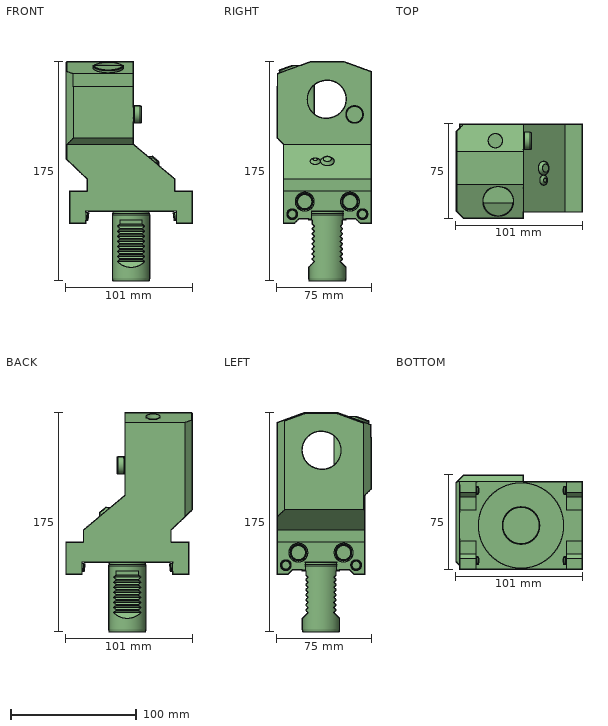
import cadquery as cq
import math


base_length = 98.0
base_width = 70.0
base_top = 16.0
rail_bottom = -9.8
rail_gap = 72.1
rail_relief_z = -6.3
rail_relief_width = 45.5
rail_slot_width = 25.0

neck_length = 70.0
neck_top = 25.5
head_left = -52.0
head_right = 2.0
head_front = -40.0
head_back = base_width / 2
head_top = 119.2
head_flat_half = 13.1
head_slope = 20.0
head_lip = 0.4
head_lip_z = 99.4
left_slope_top = 41.8
head_foot = 53.2
corner_chamfer = 6.1
top_bevel = 0.9
bore_diameter = 30.0
bore_z = 89.2
bore_relief_y = -1.0
bore_relief_z = -0.26

clamp_diameter = 24.5
clamp_x = -18.2
clamp_y = -26.2
clamp_height = 2.3
clamp_bevel = 0.5
clamp_length = 42.0
clamp_flat_z = 116.2
clamp_tip_y = -10.3
recess_diameter = 11.4
recess_x = -20.5
recess_y = 21.9
recess_floor = 113.5
stud_diameter = 14.0
stud_length = 6.5
stud_y = 21.7
stud_z = 77.0
stud_neck_diameter = 11.4
stud_neck = 0.7
stud_bevel = 1.0

plug_x = 18.0
plugs = [(11.0, 6.5, 2.5, 0.0), (8.0, 3.3, 2.0, -9.6)]

plug_screw = (15.0, 13.0, 11.4, 18.0, 7.5)
set_screw = (8.5, 8.0, 6.5, 28.0, -2.5)
set_screw_y = set_screw[3]
countersink_depth = 1.0
crown_height = 0.7
set_tip_diameter = 6.5
set_tip_end_diameter = 5.8
set_tip_length = 2.1
set_tip_cone = 1.0
set_tip_z = -4.2
set_tilt = 7.0

collar_diameter = 68.0
collar_height = 0.5
shank_diameter = 30.0
shank_bottom = -55.8
neck_diameter = 29.0
neck_bottom = -1.8
neck_cone_bottom = -3.0
shank_end_bevel = 2.1
flat_y = 12.0
flat_top = -7.2
tooth_count = 8
tooth_pitch = 4.0
tooth_depth = 1.8
first_tooth_z = -12.0


def box(x0, x1, y0, y1, z0, z1):
    return cq.Workplane("XY").box(x1 - x0, y1 - y0, z1 - z0, centered=False).translate((x0, y0, z0))


def frustum(start, direction, first_diameter, last_diameter, length):
    cone = cq.Solid.makeCone(
        first_diameter / 2, last_diameter / 2, length, cq.Vector(*start), cq.Vector(*direction)
    )
    return cq.Workplane(obj=cone)


def cylinder(start, direction, diameter, length):
    solid = cq.Solid.makeCylinder(diameter / 2, length, cq.Vector(*start), cq.Vector(*direction))
    return cq.Workplane(obj=solid)


def top_height(y):
    """Height of the sloping head roof at a given Y."""
    return head_top - (abs(y) - head_flat_half) * math.tan(math.radians(head_slope))


def make_head():
    overhang = -base_width / 2 - head_front
    lip_y = head_front + head_lip
    roof = [
        (lip_y, top_height(lip_y)),
        (-head_flat_half, head_top),
        (head_flat_half, head_top),
        (head_back, top_height(head_back)),
    ]
    outline = roof + [
        (head_back, head_foot),
        (-base_width / 2, head_foot),
        (head_front, head_foot + overhang),
        (head_front, head_lip_z),
        (lip_y, head_lip_z),
    ]
    head = cq.Workplane("YZ").polyline(outline).close().extrude(head_right - head_left)
    head = head.translate((head_left, 0, 0))
    roof_low = min(z for _, z in roof)
    margin = 1.8
    roof_edges = cq.selectors.BoxSelector(
        (head_left - margin, head_front - margin, roof_low),
        (head_left + margin, head_back - margin, head_top + margin),
    )
    return head.faces("<X").edges(roof_edges).chamfer(top_bevel)


def make_neck():
    half = neck_length / 2
    outline = [
        (-half, 0),
        (half, 0),
        (half, neck_top),
        (head_right, head_foot),
        (head_left, head_foot),
        (head_left, left_slope_top),
        (-half, neck_top),
    ]
    return cq.Workplane("XZ").polyline(outline).close().extrude(base_width / 2, both=True)


def cut_corners(body):
    """Bevel both vertical corners of the head's -X face."""
    for y, inward in ((head_front, 1), (head_back, -1)):
        corner = [
            (head_left, y),
            (head_left + corner_chamfer, y),
            (head_left, y + inward * corner_chamfer),
        ]
        body = body.cut(cq.Workplane("XY").polyline(corner).close().extrude(head_top))
    return body


def make_base():
    half_length = base_length / 2
    half_width = base_width / 2
    half_relief = rail_relief_width / 2
    half_slot = rail_slot_width / 2
    flare = rail_relief_z - rail_bottom
    half_outline = [
        (0, base_top),
        (half_width, base_top),
        (half_width, rail_bottom),
        (half_relief + flare, rail_bottom),
        (half_relief, rail_relief_z),
        (half_slot, rail_relief_z),
        (half_slot, 0),
        (0, 0),
    ]
    half_base = cq.Workplane("YZ").polyline(half_outline).close().extrude(half_length, both=True)
    base = half_base.union(half_base.mirror("XZ"))
    return base.cut(box(-rail_gap / 2, rail_gap / 2, -half_width, half_width, rail_bottom, 0))


def add_screw_end(body, end, countersink, screw, crown, y, z):
    """Countersink in a rail's outer face with the bevelled end of a screw inside it."""
    face_x = end * base_length / 2
    body = body.cut(frustum((face_x, y, z), (-end, 0, 0), countersink, screw, countersink_depth))
    floor_x = face_x - end * countersink_depth
    return body.union(frustum((floor_x, y, z), (end, 0, 0), screw, crown, crown_height))


def make_set_tip(end, y):
    """Tilted tip of a set screw standing out of a rail's inner face."""
    tilt = math.radians(set_tilt)
    inward = cq.Vector(-end * math.cos(tilt), 0, -math.sin(tilt))
    mouth = cq.Vector(end * rail_gap / 2, y, set_tip_z)
    root = mouth - inward * set_tip_length
    shoulder = mouth + inward * (set_tip_length - set_tip_cone)
    direction = inward.toTuple()
    shaft = cylinder(root.toTuple(), direction, set_tip_diameter, 2 * set_tip_length - set_tip_cone)
    cone = frustum(shoulder.toTuple(), direction, set_tip_diameter, set_tip_end_diameter, set_tip_cone)
    return shaft.union(cone)


def add_rail_screws(body):
    for end in (-1, 1):
        for side in (-1, 1):
            for countersink, screw, crown, y, z in (plug_screw, set_screw):
                body = add_screw_end(body, end, countersink, screw, crown, side * y, z)
            body = body.union(make_set_tip(end, side * set_screw_y))
    return body


def add_clamp_screw(body):
    """Screw square to the -Y roof, sunk to a level flat near the ridge, cut off upright in the bore."""
    slope = math.radians(head_slope)
    inward = (0, math.sin(slope), -math.cos(slope))
    start = (
        clamp_x,
        clamp_y - clamp_height * math.sin(slope),
        top_height(clamp_y) + clamp_height * math.cos(slope),
    )
    screw = cylinder(start, inward, clamp_diameter, clamp_length)
    bevelled_screw = screw.faces(">Z").chamfer(clamp_bevel)
    above_flat = box(head_left, head_right, head_front, 0, clamp_flat_z, 2 * head_top)
    past_tip = box(head_left, head_right, clamp_tip_y, 0, 0, clamp_flat_z)
    body = body.cut(screw.intersect(above_flat))
    return body.union(bevelled_screw.cut(above_flat).cut(past_tip))


def cut_bore(body):
    """Through bore with an eccentric relief of the same diameter on the clamp side."""
    length = head_right - head_left
    for y, z in ((0, 0), (bore_relief_y, bore_relief_z)):
        body = body.cut(cylinder((head_left, y, bore_z + z), (1, 0, 0), bore_diameter, length))
    return body


def make_stud():
    shaft_length = stud_length - stud_neck - stud_bevel
    neck = cylinder((head_right, stud_y, stud_z), (1, 0, 0), stud_neck_diameter, stud_neck)
    shaft = cylinder((head_right + stud_neck, stud_y, stud_z), (1, 0, 0), stud_diameter, shaft_length)
    end = frustum(
        (head_right + stud_neck + shaft_length, stud_y, stud_z),
        (1, 0, 0),
        stud_diameter,
        stud_diameter - stud_bevel,
        stud_bevel,
    )
    return neck.union(shaft).union(end)


def add_slope_plugs(body):
    run = neck_length / 2 - head_right
    drop = head_foot - neck_top
    plug_z = head_foot - (plug_x - head_right) * drop / run
    for base_diameter, crown_diameter, height, y in plugs:
        body = body.union(frustum((plug_x, y, plug_z), (drop, 0, run), base_diameter, crown_diameter, height))
    return body


def make_shank():
    radius = shank_diameter / 2
    profile = [
        (0, 0),
        (neck_diameter / 2, 0),
        (neck_diameter / 2, neck_bottom),
        (radius, neck_cone_bottom),
        (radius, shank_bottom + shank_end_bevel),
        (neck_diameter / 2, shank_bottom),
        (0, shank_bottom),
    ]
    shank = cq.Workplane("XZ").polyline(profile).close().revolve(360, (0, 0, 0), (0, 1, 0))

    root_y = flat_y - tooth_depth
    last_tooth_z = first_tooth_z - (tooth_count - 1) * tooth_pitch
    run_out = radius - root_y
    cutter = [(radius, flat_top), (flat_y, flat_top)]
    for i in range(tooth_count):
        z = first_tooth_z - i * tooth_pitch
        cutter += [(flat_y, z + tooth_depth), (root_y, z)]
        if i < tooth_count - 1:
            cutter.append((flat_y, z - tooth_depth))
    cutter.append((radius, last_tooth_z - run_out))
    teeth = cq.Workplane("YZ").polyline(cutter).close().extrude(radius, both=True)
    return shank.cut(teeth).cut(teeth.mirror("XZ"))


body = cut_corners(make_head().union(make_neck())).union(make_base())
body = cut_bore(body)
recess_cut = head_top - recess_floor
body = body.cut(cylinder((recess_x, recess_y, recess_floor), (0, 0, 1), recess_diameter, recess_cut))
body = add_clamp_screw(body).union(make_stud())
body = add_slope_plugs(body)
body = add_rail_screws(body)
collar = cylinder((0, 0, 0), (0, 0, -1), collar_diameter, collar_height)
result = body.union(collar).union(make_shank())